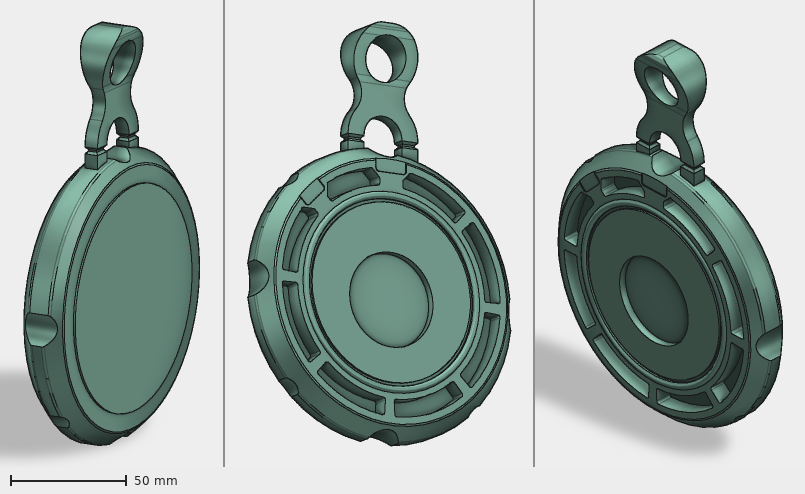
import cadquery as cq
import math


rim_radius = 65.0
low_rim_radius = 63.0
low_rim_start = 90.0
low_rim_sweep = 90.0
half_thickness = 10.0
cone_base_x = 9.65
cone_base_radius = 59.0
face_radius = 58.2
cone_crest_x = 3.07
crest_blend = 0.67
collar_radius = 50.3
collar_height = 0.93

ridge_radius = 42.9
ridge_half_width = 1.6
ridge_height = 0.93
ridge_root_depth = 1.0
groove_inner_radius = 39.9
groove_depth = 1.0
recess_diameter = 42.0
recess_z = -3.3
recess_depth = 3.6

pocket_count = 8
pocket_inner_radius = 47.2
pocket_outer_radius = 55.0
pocket_half_angle = 19.8
pocket_first_angle = 23.3
pocket_corner_radius = 1.0
pocket_depth = 8.0

label_recesses = [(90.0, 7.6), (45.0, 6.4)]
label_bottom = 53.0
label_depth = 0.5
label_corner_radius = 1.5
label_clearance_inset = 1.8
clearance_bevel_start = 50.2

notch_radius = 9.5
large_notch_offset = 70.0
large_notch_angles = [0.0, 90.0, 180.0, 270.0]
small_notch_offset = 73.2
small_notch_angles = [45.0, 225.0, 315.0]

link_half_thickness = 3.15
eye_top_z = 120.5
eye_center_z = 104.6
eye_outer_radius = 16.0
eye_hole_diameter = 20.0
eye_half_thickness = 8.25
flare_start_z = 95.0
flare_end_z = 115.5
flare_blend_radius = 13.0
eye_corner_radius = 2.3
arch_z = large_notch_offset
leg_outer_radius = 17.6
waist_radius = 11.2
foot_root_z = 55.0
neck_top_z = 69.8
neck_bottom_z = 66.8
neck_inset = 1.1

cut_margin = 1.0


def mirrored(point):
    return -point[0], point[1]


def polar(radius, angle):
    return radius * math.cos(math.radians(angle)), radius * math.sin(math.radians(angle))


def turn_around_x(body, angle):
    return body.rotate((0, 0, 0), (1, 0, 0), angle)


def revolve_around_x(profile, sweep=360.0):
    return profile.close().revolve(sweep, (0, 0), (1, 0))


def cylinder_along_x(radius, x_start, length, y=0.0, z=0.0):
    return cq.Workplane("YZ", origin=(x_start, 0, 0)).center(y, z).circle(radius).extrude(length)


def crest_points(radius):
    """End and middle of the rounding on the +X side of a rim crest, then its tangent point on the crest."""
    slope = (rim_radius - cone_base_radius) / (cone_base_x - cone_crest_x)
    flank_angle = math.atan(slope)
    crest_x = cone_crest_x + (rim_radius - radius) / slope
    blend_radius = crest_blend / math.tan(flank_angle / 2)
    blend_x = crest_x - crest_blend

    def arc_point(angle):
        return (
            blend_x + blend_radius * math.sin(angle),
            radius - blend_radius + blend_radius * math.cos(angle),
        )

    return arc_point(flank_angle), arc_point(flank_angle / 2), (blend_x, radius)


def draw_crest(start, radius):
    """Continue a profile over a rim crest, from the -X side to the +X side."""
    blend_end, blend_mid, crest_end = crest_points(radius)
    return (
        start.lineTo(*mirrored(blend_end))
        .threePointArc(mirrored(blend_mid), mirrored(crest_end))
        .lineTo(*crest_end)
        .threePointArc(blend_mid, blend_end)
    )


def make_full_rim():
    start = (
        cq.Workplane("XY")
        .moveTo(-half_thickness, 0)
        .lineTo(-half_thickness, face_radius)
        .lineTo(-cone_base_x, cone_base_radius)
    )
    profile = (
        draw_crest(start, rim_radius)
        .lineTo(cone_base_x, cone_base_radius)
        .lineTo(half_thickness, face_radius)
        .lineTo(half_thickness, 0)
    )
    return revolve_around_x(profile)


def make_low_rim_cutter():
    """Material outside the low quarter of the rim."""
    blend_end = crest_points(low_rim_radius)[0]
    outside = rim_radius + cut_margin
    start = cq.Workplane("XY").moveTo(-blend_end[0], outside)
    profile = draw_crest(start, low_rim_radius).lineTo(blend_end[0], outside)
    return turn_around_x(revolve_around_x(profile, low_rim_sweep), low_rim_start)


def make_disc():
    disc = make_full_rim().cut(make_low_rim_cutter())
    return disc.union(cylinder_along_x(collar_radius, 0, half_thickness + collar_height))


def make_ridge():
    """Rounded ring standing on the -X face."""
    root_x = -half_thickness + ridge_root_depth
    inner_radius = ridge_radius - ridge_half_width
    outer_radius = ridge_radius + ridge_half_width
    profile = (
        cq.Workplane("XY")
        .moveTo(root_x, inner_radius)
        .lineTo(-half_thickness, inner_radius)
        .threePointArc(
            (-half_thickness - ridge_height, ridge_radius),
            (-half_thickness, outer_radius),
        )
        .lineTo(root_x, outer_radius)
    )
    return revolve_around_x(profile)


def make_groove():
    """Ring groove just inside the ridge."""
    return (
        cq.Workplane("YZ", origin=(-half_thickness, 0, 0))
        .circle(ridge_radius - ridge_half_width)
        .circle(groove_inner_radius)
        .extrude(groove_depth)
    )


def make_label_recess(angle, half_width):
    height = rim_radius - label_bottom
    recess = (
        cq.Workplane("XY")
        .box(2 * label_depth, 2 * half_width, height, centered=(True, True, False))
        .edges("|X and <Z")
        .fillet(label_corner_radius)
        .translate((-half_thickness, 0, label_bottom))
    )
    return turn_around_x(recess, angle - 90)


def make_label_clearance(angle, label_half_width):
    """Bevelled block that keeps the pockets away from a label recess."""
    half_width = label_half_width - label_clearance_inset
    bevel = rim_radius - clearance_bevel_start
    outline = [
        (-half_width, 0),
        (half_width, 0),
        (half_width, clearance_bevel_start),
        (half_width + bevel, rim_radius),
        (-half_width - bevel, rim_radius),
        (-half_width, clearance_bevel_start),
    ]
    block = cq.Workplane("YZ").polyline(outline).close().extrude(2 * half_thickness, both=True)
    return turn_around_x(block, angle - 90)


def make_pockets():
    start = pocket_first_angle - pocket_half_angle
    end = pocket_first_angle + pocket_half_angle
    pocket = (
        cq.Workplane("YZ", origin=(-half_thickness, 0, 0))
        .moveTo(*polar(pocket_inner_radius, start))
        .lineTo(*polar(pocket_outer_radius, start))
        .threePointArc(polar(pocket_outer_radius, pocket_first_angle), polar(pocket_outer_radius, end))
        .lineTo(*polar(pocket_inner_radius, end))
        .threePointArc(polar(pocket_inner_radius, pocket_first_angle), polar(pocket_inner_radius, start))
        .close()
        .extrude(pocket_depth)
    )
    pockets = cq.Workplane("YZ")
    for index in range(pocket_count):
        pockets = pockets.add(turn_around_x(pocket, index * 360 / pocket_count))
    pockets = pockets.combine()
    for angle, half_width in label_recesses:
        pockets = pockets.cut(make_label_clearance(angle, half_width))
    return pockets.edges("|X").fillet(pocket_corner_radius)


def make_notch(offset, angle):
    y, z = polar(offset, angle)
    return cylinder_along_x(notch_radius, -2 * half_thickness, 4 * half_thickness, y, z)


def waist_arc():
    """Start, middle and end (y, z) of the concave arc tangent to the leg and the eye on the +Y side."""
    to_leg = leg_outer_radius + waist_radius
    to_eye = eye_outer_radius + waist_radius
    spacing = eye_center_z - arch_z
    rise = (to_leg**2 - to_eye**2 + spacing**2) / (2 * spacing)
    center_y = math.sqrt(to_leg**2 - rise**2)
    center_z = arch_z + rise
    leg_point = (
        center_y * leg_outer_radius / to_leg,
        arch_z + rise * leg_outer_radius / to_leg,
    )
    eye_point = (
        center_y * eye_outer_radius / to_eye,
        eye_center_z + (center_z - eye_center_z) * eye_outer_radius / to_eye,
    )
    return leg_point, (center_y - waist_radius, center_z), eye_point


def make_link_outline():
    """Outline of eye and legs in the YZ plane, extruded to the full eye thickness."""
    leg_point, waist_point, eye_point = waist_arc()
    leg_mid_angle = math.degrees(math.atan2(leg_point[1] - arch_z, leg_point[0])) / 2
    mid_y, mid_z = polar(leg_outer_radius, leg_mid_angle)
    leg_mid = (mid_y, arch_z + mid_z)
    return (
        cq.Workplane("YZ")
        .moveTo(-leg_outer_radius, foot_root_z)
        .lineTo(leg_outer_radius, foot_root_z)
        .lineTo(leg_outer_radius, arch_z)
        .threePointArc(leg_mid, leg_point)
        .threePointArc(waist_point, eye_point)
        .threePointArc((0, eye_center_z + eye_outer_radius), mirrored(eye_point))
        .threePointArc(mirrored(waist_point), mirrored(leg_point))
        .threePointArc(mirrored(leg_mid), (-leg_outer_radius, arch_z))
        .close()
        .extrude(eye_half_thickness, both=True)
    )


def make_link_side_profile():
    """Profile in the XZ plane: flat legs that flare out to the thick eye."""
    side = [
        (link_half_thickness, foot_root_z),
        (link_half_thickness, flare_start_z),
        (eye_half_thickness, flare_end_z),
        (eye_half_thickness, eye_top_z),
    ]
    other_side = [mirrored(point) for point in reversed(side)]
    profile = (
        cq.Workplane("XZ").polyline(side + other_side).close().extrude(leg_outer_radius, both=True)
    )
    bend_zone = cq.selectors.BoxSelector(
        (-half_thickness, -cut_margin, flare_start_z - cut_margin),
        (half_thickness, cut_margin, flare_end_z + cut_margin),
    )
    profile = profile.edges(bend_zone).fillet(flare_blend_radius)
    return profile.edges("|Y and >Z").fillet(eye_corner_radius)


def make_foot_neck(side):
    """Material removed around one foot to leave its V-shaped neck."""
    height = neck_top_z - neck_bottom_z
    leg_width = leg_outer_radius - notch_radius
    slab = cq.Workplane("XY").box(4 * link_half_thickness, 2 * leg_width, height)
    lower_taper = (
        cq.Workplane("XY", origin=(0, 0, -height / 2))
        .rect(2 * link_half_thickness, leg_width)
        .extrude(neck_inset, taper=45)
    )
    upper_taper = lower_taper.mirror("XY")
    core = cq.Workplane("XY").box(
        2 * (link_half_thickness - neck_inset), leg_width - 2 * neck_inset, height
    )
    ring = slab.cut(lower_taper.union(core).union(upper_taper))
    foot_y = side * (leg_outer_radius + notch_radius) / 2
    return ring.translate((0, foot_y, (neck_top_z + neck_bottom_z) / 2))


def make_link():
    link = make_link_outline().intersect(make_link_side_profile())
    eye_hole = cylinder_along_x(
        eye_hole_diameter / 2, -half_thickness, 2 * half_thickness, 0, eye_center_z
    )
    gap_height = arch_z - foot_root_z
    leg_gap = cq.Workplane("XY").box(
        2 * half_thickness, 2 * notch_radius, gap_height, centered=(True, True, False)
    )
    link = link.cut(eye_hole)
    link = link.cut(leg_gap.translate((0, 0, foot_root_z)))
    link = link.cut(make_notch(arch_z, 90.0))
    for side in (-1, 1):
        link = link.cut(make_foot_neck(side))
    return link


disc = make_disc().union(make_ridge()).cut(make_groove())
disc = disc.cut(
    cylinder_along_x(recess_diameter / 2, -half_thickness, recess_depth, 0, recess_z)
)
disc = disc.cut(make_pockets())
for label_angle, label_half_width in label_recesses:
    disc = disc.cut(make_label_recess(label_angle, label_half_width))
for notch_angle in large_notch_angles:
    disc = disc.cut(make_notch(large_notch_offset, notch_angle))
for notch_angle in small_notch_angles:
    disc = disc.cut(make_notch(small_notch_offset, notch_angle))

result = disc.union(make_link())